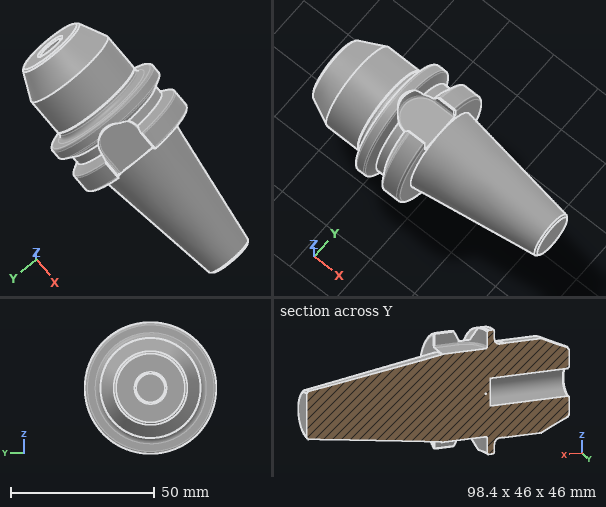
import cadquery as cq
import math

SELECT_MARGIN = 0.1

total_length = 98.4
flange_radius = 46.0 / 2

tip_radius = 12.6
tip_edge_break = 0.6
nose_radius = 35.0 / 2
tip_cone_length = 10.5
nose_end = 24.7
nose_step_length = 0.3
relief_radius = 34.8 / 2
relief_fillet = 2.0

flange_front = 27.9
flange_back = 47.7
flange_edge_round = 0.9
front_rim_end = 32.3
rear_rim_start = 40.3
rim_corner_round = 0.7
groove_radius = 19.1
groove_wall_angle = math.radians(60)
groove_wall_length = (flange_radius - groove_radius) / math.tan(groove_wall_angle)

taper_slope = 7 / 48
shank_root_radius = 16.2
shank_end_radius = shank_root_radius - taper_slope * (total_length - flange_back)
shank_end_chamfer = 0.7

bore_radius = 10.0 / 2
bore_depth = 29.5
bore_chamfer = 0.6

slot_half_width = 8.0
slot_center = 38.8
slot_floor = 16.3
slot_floor_fillet = 0.6
slot_edge_chamfer = 0.5


def revolved_body():
    """Revolve the half profile (axial position, radius) about the X axis."""
    arc_middle = relief_fillet * math.sin(math.pi / 4)
    fillet_start = flange_front - relief_fillet
    fillet_top = relief_radius + relief_fillet
    tip_cone_slope = (nose_radius - tip_radius) / tip_cone_length
    tip_cone_start_radius = tip_radius + tip_cone_slope * tip_edge_break
    profile = (
        cq.Workplane("XY")
        .lineTo(0, tip_radius - tip_edge_break)
        .lineTo(tip_edge_break, tip_cone_start_radius)
        .lineTo(tip_cone_length, nose_radius)
        .lineTo(nose_end, nose_radius)
        .lineTo(nose_end + nose_step_length, relief_radius)
        .lineTo(fillet_start, relief_radius)
        .threePointArc(
            (fillet_start + arc_middle, fillet_top - arc_middle),
            (flange_front, fillet_top),
        )
        .lineTo(flange_front, flange_radius - flange_edge_round)
        .radiusArc((flange_front + flange_edge_round, flange_radius), flange_edge_round)
        .lineTo(front_rim_end, flange_radius)
        .lineTo(front_rim_end + groove_wall_length, groove_radius)
        .lineTo(rear_rim_start - groove_wall_length, groove_radius)
        .lineTo(rear_rim_start, flange_radius)
        .lineTo(flange_back - flange_edge_round, flange_radius)
        .radiusArc((flange_back, flange_radius - flange_edge_round), flange_edge_round)
        .lineTo(flange_back, shank_root_radius)
        .lineTo(total_length - shank_end_chamfer, shank_end_radius + taper_slope * shank_end_chamfer)
        .lineTo(total_length, shank_end_radius - shank_end_chamfer)
        .lineTo(total_length, 0)
        .close()
    )
    body = profile.revolve(360, (0, 0, 0), (1, 0, 0))
    groove_corners = body.edges(
        cq.selectors.BoxSelector(
            (front_rim_end - SELECT_MARGIN, -flange_radius, -flange_radius),
            (rear_rim_start + SELECT_MARGIN, flange_radius, flange_radius),
        )
    ).edges("%CIRCLE").edges(cq.selectors.RadiusNthSelector(-1))
    return groove_corners.fillet(rim_corner_round)


def bore():
    """Blind bore with a chamfered mouth."""
    hole = cq.Workplane("YZ").circle(bore_radius).extrude(bore_depth)
    mouth = cq.Solid.makeCone(
        bore_radius + bore_chamfer, bore_radius, bore_chamfer,
        pnt=cq.Vector(0, 0, 0), dir=cq.Vector(1, 0, 0),
    )
    return hole.union(mouth)


def front_edge_bevel():
    """Upward flaring cone that bevels the round end of a slot in the front rim."""
    bevel_height = 2 * slot_edge_chamfer
    return cq.Workplane(
        cq.Solid.makeCone(
            slot_half_width, slot_half_width + bevel_height, bevel_height,
            pnt=cq.Vector(slot_center, 0, flange_radius - slot_edge_chamfer),
        )
    )


def rim_edge_bevels():
    """Upward flaring prism that bevels both straight slot edges on the rear rim."""
    rim_edge_z = math.sqrt(flange_radius**2 - slot_half_width**2)
    bevel_base = rim_edge_z - slot_edge_chamfer
    bevel_height = flange_radius - bevel_base
    wide_half_width = slot_half_width + bevel_height
    return (
        cq.Workplane("YZ", origin=(slot_center, 0, bevel_base))
        .moveTo(-slot_half_width, 0)
        .lineTo(slot_half_width, 0)
        .lineTo(wide_half_width, bevel_height)
        .lineTo(-wide_half_width, bevel_height)
        .close()
        .extrude(total_length - slot_center)
    )


def rear_edge_bevels():
    """Rearward flaring prism that bevels both slot edges on the back of the flange."""
    wall_base = slot_floor + slot_floor_fillet
    wide_half_width = slot_half_width + slot_edge_chamfer
    return (
        cq.Workplane("XY", origin=(flange_back, 0, wall_base))
        .moveTo(-slot_edge_chamfer, -slot_half_width)
        .lineTo(0, -wide_half_width)
        .lineTo(0, wide_half_width)
        .lineTo(-slot_edge_chamfer, slot_half_width)
        .close()
        .extrude(flange_radius - wall_base)
    )


def drive_slot():
    """Slot with a round front end, open to the rear, with a filleted floor."""
    slot = (
        cq.Workplane("XY", origin=(0, 0, slot_floor))
        .moveTo(total_length, -slot_half_width)
        .lineTo(slot_center, -slot_half_width)
        .threePointArc((slot_center - slot_half_width, 0), (slot_center, slot_half_width))
        .lineTo(total_length, slot_half_width)
        .close()
        .extrude(flange_radius)
    )
    slot = slot.faces("<Z").edges("not >X").fillet(slot_floor_fillet)
    return slot.union(front_edge_bevel()).union(rim_edge_bevels()).union(rear_edge_bevels())


slot = drive_slot()
opposite_slot = slot.rotate((0, 0, 0), (1, 0, 0), 180)
result = revolved_body().cut(bore()).cut(slot).cut(opposite_slot)